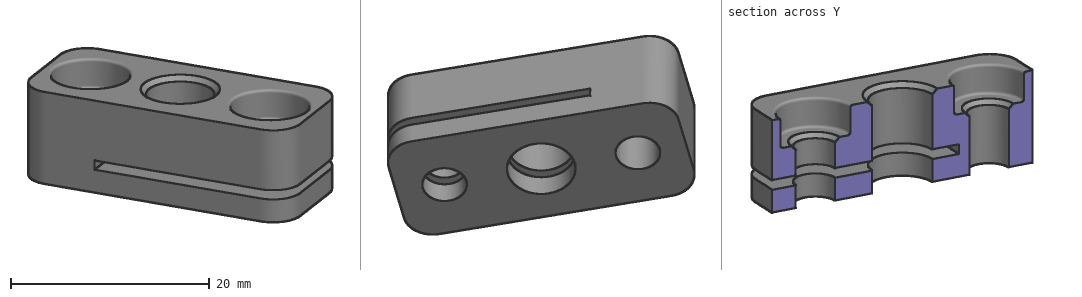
import cadquery as cq
import math

length = 30.0
width = 13.0
height = 10.0
corner_radius = 3.0

slot_floor = 2.5
slot_gap = 1.0
slot_start_x = -6.5

screw_spacing = 20.0
screw_diameter = 4.5
screw_chamfer = 0.5
head_diameter = 8.0
head_depth = 3.2
head_edge_radius = 0.3

center_diameter = 6.92
center_rim_diameter = 8.0


def make_block():
    """Rectangular block standing on Z = 0 with rounded vertical corners."""
    block = cq.Workplane("XY").box(length, width, height, centered=(True, True, False))
    return block.edges("|Z").fillet(corner_radius)


def make_slot():
    """Horizontal slot across the full width, running out through the +X end."""
    slot_length = length / 2 - slot_start_x
    slot = cq.Workplane("XY").box(slot_length, width, slot_gap, centered=(False, True, False))
    return slot.translate((slot_start_x, 0, slot_floor))


def make_screw_hole():
    """Cutter revolved about Z: through hole, chamfer and counterbore with rounded rims."""
    screw_radius = screw_diameter / 2
    head_radius = head_diameter / 2
    chamfer_radius = screw_radius + screw_chamfer
    seat_z = height - head_depth
    mid_arc = head_edge_radius * (1 - math.cos(math.radians(45)))

    profile = (
        cq.Workplane("XZ")
        .lineTo(screw_radius, 0)
        .lineTo(screw_radius, seat_z - screw_chamfer)
        .lineTo(chamfer_radius, seat_z)
        .lineTo(head_radius - head_edge_radius, seat_z)
        .threePointArc(
            (head_radius - mid_arc, seat_z + mid_arc),
            (head_radius, seat_z + head_edge_radius),
        )
        .lineTo(head_radius, height - head_edge_radius)
        .threePointArc(
            (head_radius + mid_arc, height - mid_arc),
            (head_radius + head_edge_radius, height),
        )
        .lineTo(0, height)
        .close()
    )
    return profile.revolve(360, (0, 0, 0), (0, 1, 0))


def make_center_hole():
    """Cutter revolved about Z: through hole with a chamfered top rim."""
    radius = center_diameter / 2
    rim_radius = center_rim_diameter / 2
    chamfer = rim_radius - radius
    profile = (
        cq.Workplane("XZ")
        .lineTo(radius, 0)
        .lineTo(radius, height - chamfer)
        .lineTo(rim_radius, height)
        .lineTo(0, height)
        .close()
    )
    return profile.revolve(360, (0, 0, 0), (0, 1, 0))


result = make_block().cut(make_slot()).cut(make_center_hole())
for side in (-1, 1):
    screw_x = side * screw_spacing / 2
    result = result.cut(make_screw_hole().translate((screw_x, 0, 0)))